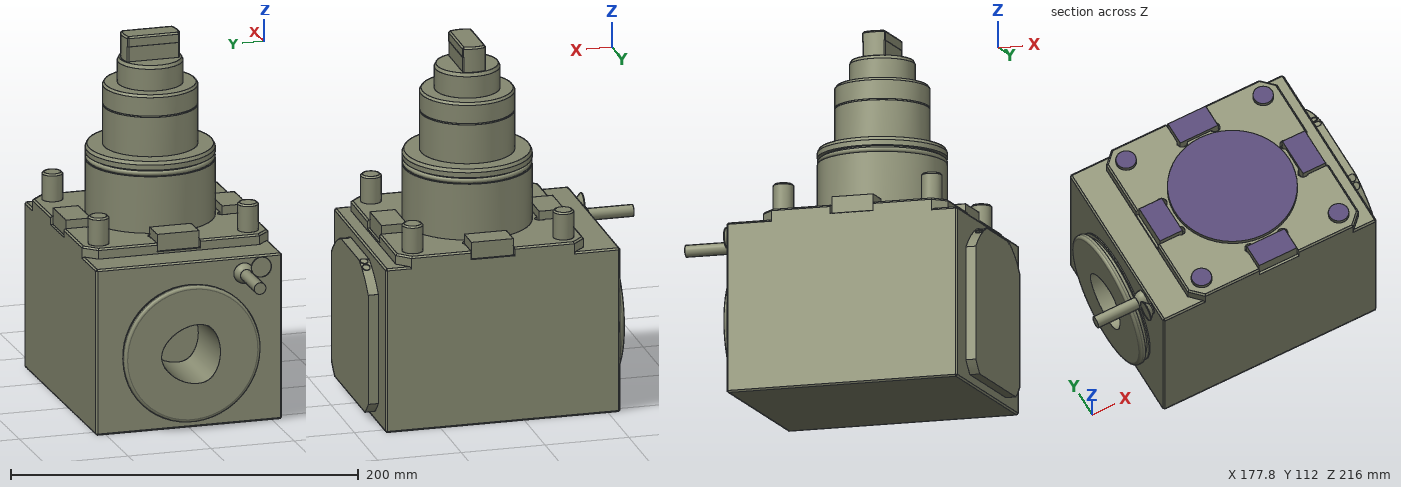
import cadquery as cq
import math


overlap = 1.0

body_left = -76.0
body_right = 64.0
body_width = 112.0
body_bottom = -106.0
body_top = -6.2
edge_chamfer = 1.0

flange_size = 112.0
flange_corner = 7.5

spigot_dia = 75.0
spigot_top = 43.0
spigot_chamfer_radial = 1.0
spigot_chamfer_height = 2.0
groove_dia = 70.0
groove_bottom = 34.0
groove_top = 38.0
ring_dia = 74.9
ring_cord_dia = 3.0
neck_dia = 55.0
neck_top = 80.0
neck_chamfer_radial = 1.0
neck_chamfer_height = 1.5
neck_groove_dia = 54.8
neck_groove_height = 67.0
neck_groove_width = 0.8
tip_dia = 38.0
tip_top = 95.0
tip_chamfer_radial = 1.0
tip_chamfer_height = 2.0

tang_dia = 34.0
tang_top = 110.0
tang_head_height = 6.0
tang_head_thickness = 14.0
tang_stem_thickness = 13.6
tang_edge_chamfer = 0.6
tang_top_chamfer = 1.0

stud_dia = 12.0
stud_pitch = 90.0
stud_top = 16.5
stud_chamfer = 1.0

key_width = 25.0
key_inner = 39.5
key_outer = 54.5
key_top = 5.0
slot_width = 26.0
slot_depth = 5.0
relief_dia = 6.0
relief_side_inset = 2.3
relief_end_inset = 1.0

bore_height = -60.0
nut_dia = 82.0
nut_face = -83.0
nut_rim_fillet = 1.8
nut_back = -79.5
nut_neck_dia = 75.0
collar_dia = 80.0
collar_thickness = 0.8

bore_mean_radius = 17.7
bore_lobe = 1.0
bore_depth = 40.0
bore_taper = 1 / 40

nozzle_y = -32.9
nozzle_z = -16.0
nozzle_ball_dia = 12.0
pipe_dia = 7.0
pipe_end = -107.8
screw_y = -42.2
screw_z = -12.1
screw_head_dia = 12.0
screw_shank_dia = 6.0
screw_face = -80.3
screw_rim = 0.5

cover_thickness = 6.0
cover_radius = 52.0
cover_width = 80.0
cover_rise = 48.0
cover_drop = 40.5
cover_hole_dia = 4.5
cover_hole_depth = 0.5
cover_hole_offset = 3.2
cover_hole_angle = 26.5
cover_hole_spread = 5.8


def box(x_min, x_max, y_min, y_max, z_min, z_max):
    """Axis-aligned block between the given limits."""
    block = cq.Workplane("XY").box(x_max - x_min, y_max - y_min, z_max - z_min, centered=False)
    return block.translate((x_min, y_min, z_min))


def x_cylinder(dia, x_start, x_end, y, z):
    """Cylinder parallel to X."""
    plane = cq.Workplane("YZ", origin=(x_start, y, z))
    return plane.circle(dia / 2).extrude(x_end - x_start)


def make_housing():
    half_width = body_width / 2
    block = box(body_left, body_right, -half_width, half_width, body_bottom, body_top)
    block = block.edges().chamfer(edge_chamfer)
    flange_bottom = body_top - edge_chamfer - overlap
    flange = (
        cq.Workplane("XY")
        .workplane(offset=flange_bottom)
        .rect(flange_size, flange_size)
        .extrude(-flange_bottom)
        .edges("|Z")
        .chamfer(flange_corner)
        .faces(">Z")
        .chamfer(edge_chamfer)
    )
    return block.union(flange)


def make_key_slot():
    """Slot for the +X key, open at the flange edge, with round reliefs at its inner corners."""
    half = slot_width / 2
    slot = box(key_inner, flange_size / 2 + overlap, -half, half, -slot_depth, overlap)
    relief_x = key_inner + relief_end_inset
    relief_y = half - relief_side_inset
    reliefs = (
        cq.Workplane("XY")
        .workplane(offset=-slot_depth)
        .pushPoints([(relief_x, side * relief_y) for side in (-1, 1)])
        .circle(relief_dia / 2)
        .extrude(slot_depth + overlap)
    )
    return slot.union(reliefs)


def make_key():
    half = key_width / 2
    return box(key_inner, key_outer, -half, half, -slot_depth, key_top)


def add_keys(part):
    for quarter in range(4):
        angle = 90 * quarter
        part = part.cut(make_key_slot().rotate((0, 0, 0), (0, 0, 1), angle))
        part = part.union(make_key().rotate((0, 0, 0), (0, 0, 1), angle))
    return part


def make_spigot():
    """Stepped spigot turned about Z, with a sealing ring in its groove."""
    spigot_r = spigot_dia / 2
    neck_r = neck_dia / 2
    tip_r = tip_dia / 2
    neck_groove_bottom = neck_groove_height - neck_groove_width / 2
    neck_groove_top = neck_groove_height + neck_groove_width / 2
    groove_r = groove_dia / 2
    cord_r = ring_cord_dia / 2
    cord_centre_r = ring_dia / 2 - cord_r
    cord_centre_z = groove_bottom + cord_r
    cord_meets_floor_z = cord_centre_z + math.sqrt(cord_r**2 - (cord_centre_r - groove_r) ** 2)
    outline = (
        cq.Workplane("XZ")
        .moveTo(0, body_top)
        .lineTo(spigot_r, body_top)
        .lineTo(spigot_r, groove_bottom)
        .lineTo(cord_centre_r, groove_bottom)
        .threePointArc((ring_dia / 2, cord_centre_z), (groove_r, cord_meets_floor_z))
        .lineTo(groove_r, groove_top)
        .lineTo(spigot_r, groove_top)
        .lineTo(spigot_r, spigot_top - spigot_chamfer_height)
        .lineTo(spigot_r - spigot_chamfer_radial, spigot_top)
        .lineTo(neck_r, spigot_top)
        .lineTo(neck_r, neck_groove_bottom)
        .lineTo(neck_groove_dia / 2, neck_groove_bottom)
        .lineTo(neck_groove_dia / 2, neck_groove_top)
        .lineTo(neck_r, neck_groove_top)
        .lineTo(neck_r, neck_top - neck_chamfer_height)
        .lineTo(neck_r - neck_chamfer_radial, neck_top)
        .lineTo(tip_r, neck_top)
        .lineTo(tip_r, tip_top - tip_chamfer_height)
        .lineTo(tip_r - tip_chamfer_radial, tip_top)
        .lineTo(0, tip_top)
        .close()
    )
    return outline.revolve(360, (0, 0), (0, 1))


def make_tang_layer(thickness, bottom, top):
    """Flat bar along Y with round ends and chamfered upright edges."""
    radius = tang_dia / 2
    half = thickness / 2
    bar = box(-half, half, -radius, radius, bottom, top)
    blank = cq.Workplane("XY").workplane(offset=bottom).circle(radius).extrude(top - bottom)
    return blank.intersect(bar).edges("|Z").chamfer(tang_edge_chamfer)


def make_tang():
    """Drive tang, its head slightly thicker than its stem."""
    head_bottom = tang_top - tang_head_height
    stem = make_tang_layer(tang_stem_thickness, tip_top, head_bottom)
    head = make_tang_layer(tang_head_thickness, head_bottom, tang_top)
    head = head.faces(">Z").chamfer(tang_top_chamfer)
    return stem.union(head)


def make_studs():
    return (
        cq.Workplane("XY")
        .workplane(offset=body_top)
        .rect(stud_pitch, stud_pitch, forConstruction=True)
        .vertices()
        .circle(stud_dia / 2)
        .extrude(stud_top - body_top)
        .faces(">Z")
        .chamfer(stud_chamfer)
    )


def make_nut():
    """Clamping nut turned about the tool bore axis, with its collar against the housing."""
    collar_face = body_left - collar_thickness
    profile = [
        (nut_face, 0),
        (nut_face, nut_dia / 2),
        (nut_back, nut_dia / 2),
        (nut_back, nut_neck_dia / 2),
        (collar_face, nut_neck_dia / 2),
        (collar_face, collar_dia / 2),
        (body_left, collar_dia / 2),
        (body_left, 0),
    ]
    nut = cq.Workplane("XZ").polyline(profile).close().revolve(360, (0, 0), (1, 0))
    nut = nut.faces("<X").edges().fillet(nut_rim_fillet)
    return nut.translate((0, 0, bore_height))


def lobed_point(mean_radius, turn):
    """Point of a constant-width three-lobed curve with one lobe towards +Y."""
    angle = 2 * math.pi * turn
    reach = mean_radius + bore_lobe * math.cos(3 * angle)
    slide = -3 * bore_lobe * math.sin(3 * angle)
    y = reach * math.cos(angle) - slide * math.sin(angle)
    z = reach * math.sin(angle) + slide * math.cos(angle)
    return (y, z)


def make_bore():
    floor_radius = bore_mean_radius - bore_depth * bore_taper
    return (
        cq.Workplane("YZ", origin=(nut_face, 0, bore_height))
        .parametricCurve(lambda turn: lobed_point(bore_mean_radius, turn))
        .workplane(offset=bore_depth)
        .parametricCurve(lambda turn: lobed_point(floor_radius, turn))
        .loft()
    )


def make_nozzle():
    """Coolant pipe on a ball seated in the -X face."""
    ball = cq.Workplane("XY").sphere(nozzle_ball_dia / 2).translate((body_left, nozzle_y, nozzle_z))
    pipe = x_cylinder(pipe_dia, pipe_end, body_left, nozzle_y, nozzle_z)
    return ball.union(pipe)


def make_screw():
    """Countersunk-head screw standing proud of the -X face, with a 45 degree head."""
    head_r = screw_head_dia / 2
    shank_r = screw_shank_dia / 2
    head_end = screw_face + screw_rim + head_r - shank_r
    profile = [
        (screw_face, 0),
        (screw_face, head_r),
        (screw_face + screw_rim, head_r),
        (head_end, shank_r),
        (body_left + overlap, shank_r),
        (body_left + overlap, 0),
    ]
    screw = cq.Workplane("XZ").polyline(profile).close().revolve(360, (0, 0), (1, 0))
    return screw.translate((0, screw_y, screw_z))


def make_cover():
    """Round cover plate with four flats and two pairs of radial holes in its upper arcs."""
    cover_right = body_right + cover_thickness
    disc = x_cylinder(2 * cover_radius, body_right, cover_right, 0, bore_height)
    half_width = cover_width / 2
    limits = box(
        body_right,
        cover_right,
        -half_width,
        half_width,
        bore_height - cover_drop,
        bore_height + cover_rise,
    )
    cover = disc.intersect(limits)
    hole = (
        cq.Workplane("XY", origin=(body_right + cover_hole_offset, 0, cover_radius - cover_hole_depth))
        .circle(cover_hole_dia / 2)
        .extrude(2 * cover_hole_depth)
    )
    for side in (-1, 1):
        for shift in (-0.5, 0.5):
            angle = side * (cover_hole_angle + shift * cover_hole_spread)
            tilted = hole.rotate((0, 0, 0), (1, 0, 0), angle)
            cover = cover.cut(tilted.translate((0, 0, bore_height)))
    return cover


result = add_keys(make_housing())
result = result.union(make_spigot()).union(make_tang()).union(make_studs())
result = result.union(make_nut()).union(make_cover())
result = result.cut(make_bore())
result = result.union(make_screw()).union(make_nozzle())